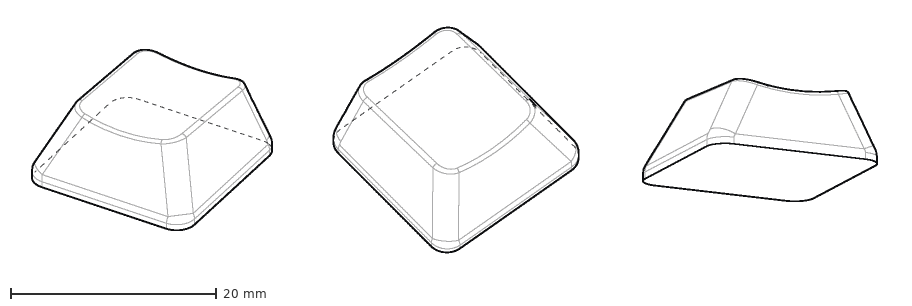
import cadquery as cq
import math

base_size = 18.16
skirt_height = 1.05

side_lean = 24.9
front_lean = 27.9
back_lean = 4.8
blank_height = 8.6

corner_radius = 2.0
shoulder_radius = 1.5

dish_radius = 22.0
dish_floor_height = 6.74
dish_tilt = 2.8
rim_radius = 0.45


def rectangle_wire(half_width, front_y, back_y, front_z, back_z):
    """Rectangle centred on X = 0 whose front and back edges can differ in height."""
    corners = [
        cq.Vector(-half_width, front_y, front_z),
        cq.Vector(half_width, front_y, front_z),
        cq.Vector(half_width, back_y, back_z),
        cq.Vector(-half_width, back_y, back_z),
    ]
    return cq.Wire.makePolygon(corners, close=True)


def sharp_blank():
    """Square skirt below a body that tapers to a rectangle lying parallel to the dish floor."""
    half_base = base_size / 2
    rise = blank_height - skirt_height
    fall = math.tan(math.radians(dish_tilt))
    side_slope = math.tan(math.radians(side_lean))
    front_slope = math.tan(math.radians(front_lean))
    back_slope = math.tan(math.radians(back_lean))

    top_half_width = half_base - rise * side_slope
    top_front_y = (rise * front_slope - half_base) / (1 + fall * front_slope)
    top_back_y = (half_base - rise * back_slope) / (1 - fall * back_slope)

    bottom = rectangle_wire(half_base, -half_base, half_base, skirt_height, skirt_height)
    top = rectangle_wire(
        top_half_width,
        top_front_y,
        top_back_y,
        blank_height - fall * top_front_y,
        blank_height - fall * top_back_y,
    )
    body = cq.Solid.makeLoft([bottom, top], True)
    skirt = cq.Workplane("XY").rect(base_size, base_size).extrude(skirt_height)
    return skirt.union(cq.Workplane(body))


def round_blank(blank):
    """Round corners and shoulders in one operation, so that they blend where they meet."""
    solid = blank.solids().val()
    rounding = cq.occ_impl.shapes.BRepFilletAPI_MakeFillet(solid.wrapped)
    height_tolerance = 0.001
    least_upright_slope = 0.5
    for edge in solid.Edges():
        is_upright = abs(edge.tangentAt(0).z) > least_upright_slope
        is_shoulder = not is_upright and abs(edge.Center().z - skirt_height) < height_tolerance
        if is_upright:
            rounding.Add(corner_radius, edge.wrapped)
        elif is_shoulder:
            rounding.Add(shoulder_radius, edge.wrapped)
    return cq.Workplane(cq.Shape.cast(rounding.Shape()))


def dish_cutter():
    """Cylinder along Y, tilted about the point of its lowest line at Y = 0."""
    return (
        cq.Workplane("XZ", origin=(0, 0, dish_floor_height + dish_radius))
        .circle(dish_radius)
        .extrude(base_size, both=True)
        .rotate((0, 0, dish_floor_height), (1, 0, dish_floor_height), -dish_tilt)
    )


def round_rim(cap):
    """Round the outline of the dish."""
    dish_floor = cap.faces(cq.selectors.NearestToPointSelector((0, 0, dish_floor_height)))
    return dish_floor.edges().fillet(rim_radius)


key_cap = round_blank(sharp_blank())
key_cap = key_cap.cut(dish_cutter())
result = round_rim(key_cap).solids()